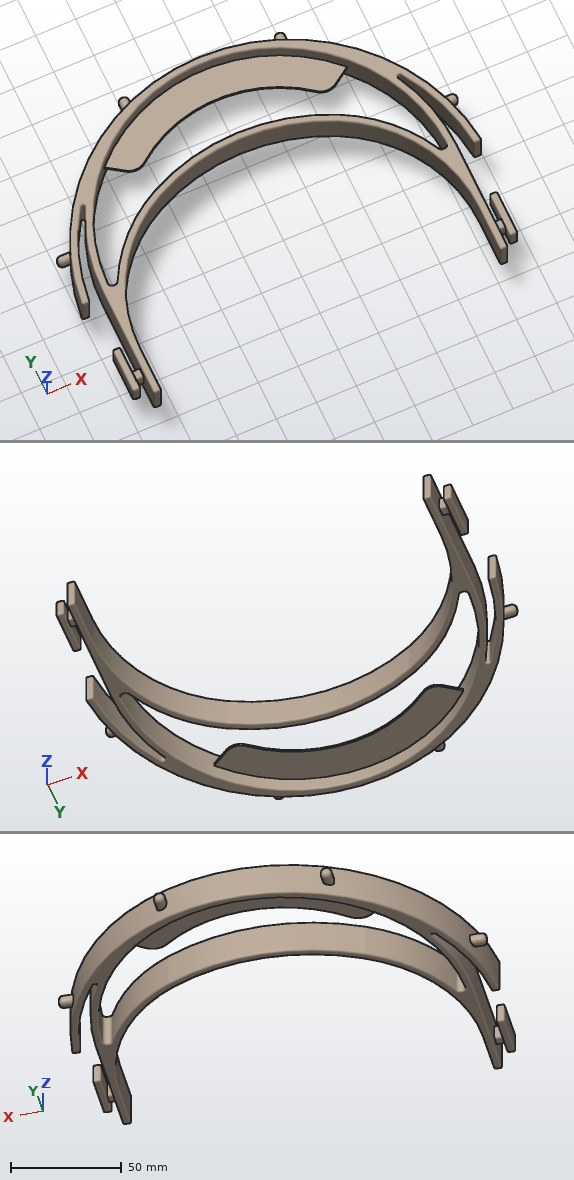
import cadquery as cq
import math


height = 17.0
overall_depth = 145.0
edge_round = 1.0
strip = 3.8

visor_radius = 100.2
visor_center_y = overall_depth - visor_radius
arm_end_y = 53.7

head_outer_radius = 88.5
head_inner_radius = head_outer_radius - strip
head_center_y = overall_depth - strip - head_inner_radius

slot_end_y = 99.0
slot_corner_radius = 0.8

forehead_side_radius = 73.3
forehead_top_radius = 98.6
forehead_tangent_y = 23.5

cavity_floor_y = 57.1
cavity_corner_radius = 2.0

plate_thickness = 1.4
plate_inner_radius = 68.9
plate_lobe_radius = 8.0
plate_lobe_x = 48.0
plate_end_slope = 34.0

hook_length = 23.0
hook_height = 10.2
hook_thickness = 3.8
hook_outer_x = 96.0
hook_center_y = 17.5
stem_width = 5.0
stem_height = 7.5
stem_center_y = 13.8

peg_width = 5.0
peg_height = 5.5
peg_round = 2.2
peg_blank_length = 14.0
front_peg_x = 39.0
front_peg_tip_y = 143.7
side_peg_y = 80.9
side_peg_tip_x = 99.8


def disc(radius, center_y):
    """Full-height cylinder centred on the symmetry plane."""
    return cq.Workplane("XY").center(0, center_y).circle(radius).extrude(height / 2, both=True)


def block(x_min, x_max, y_min, y_max):
    """Full-height box between the given limits."""
    return cq.Workplane("XY").box(
        x_max - x_min, y_max - y_min, height, centered=(False, False, True)
    ).translate((x_min, y_min, 0))


def head_arch(radius):
    """Full-height arch: a half disc on a straight-sided base that starts at the leg ends."""
    return (
        cq.Workplane("XY")
        .moveTo(-radius, 0)
        .lineTo(-radius, head_center_y)
        .threePointArc((0, head_center_y + radius), (radius, head_center_y))
        .lineTo(radius, 0)
        .close()
        .extrude(height / 2, both=True)
    )


def forehead_arch(offset):
    """Full-height arch under the forehead strip, grown outwards by the offset."""
    side_radius = forehead_side_radius + offset
    top_radius = forehead_top_radius + offset
    half_width = head_inner_radius + offset
    side_center_x = half_width - side_radius
    center_gap = top_radius - side_radius
    joint_angle = math.asin(side_center_x / center_gap)
    top_center_y = forehead_tangent_y - center_gap * math.cos(joint_angle)
    joint_x = top_radius * math.sin(joint_angle)
    joint_y = top_center_y + top_radius * math.cos(joint_angle)
    middle_angle = (joint_angle + math.pi / 2) / 2
    middle_x = side_center_x + side_radius * math.sin(middle_angle)
    middle_y = forehead_tangent_y + side_radius * math.cos(middle_angle)
    return (
        cq.Workplane("XY")
        .moveTo(-half_width, 0)
        .lineTo(-half_width, forehead_tangent_y)
        .threePointArc((-middle_x, middle_y), (-joint_x, joint_y))
        .threePointArc((0, top_center_y + top_radius), (joint_x, joint_y))
        .threePointArc((middle_x, middle_y), (half_width, forehead_tangent_y))
        .lineTo(half_width, 0)
        .close()
        .extrude(height / 2, both=True)
    )


def arm_slots():
    """The gaps between the arms and the headband, with rounded closed ends."""
    reach = block(-visor_radius, visor_radius, 0, slot_end_y)
    gaps = disc(visor_radius - strip, visor_center_y).intersect(reach).cut(head_arch(head_outer_radius))
    return gaps.edges("|Z and >Y").fillet(slot_corner_radius)


def cavity():
    """The opening between the headband and the forehead strip, with rounded corners."""
    reach = block(-visor_radius, visor_radius, cavity_floor_y, overall_depth)
    opening = head_arch(head_inner_radius).intersect(reach).cut(forehead_arch(strip))
    return opening.edges("|Z and <Y").fillet(cavity_corner_radius)


def band():
    """Visor band, arms, headband, legs and forehead strip, with every edge rounded."""
    visor_reach = block(-visor_radius, visor_radius, arm_end_y, overall_depth)
    outline = disc(visor_radius, visor_center_y).intersect(visor_reach).union(head_arch(head_outer_radius))
    strips = outline.cut(arm_slots()).cut(cavity()).cut(forehead_arch(0))
    ends = cq.selectors.BoxSelector(
        (-visor_radius, arm_end_y - edge_round, -height),
        (visor_radius, arm_end_y + edge_round, height),
    )
    strips = strips.edges("|Z").edges(ends).fillet(edge_round)
    strips = strips.edges("|Z and <Y").fillet(edge_round)
    return strips.faces(">Z or <Z").edges().fillet(edge_round)


def plate():
    """Thin plate whose inner edge is concentric with the headband and ends in a lobe at each side."""
    lobe_distance = plate_inner_radius + plate_lobe_radius
    lobe_angle = math.asin(plate_lobe_x / lobe_distance)
    lobe_y = head_center_y + lobe_distance * math.cos(lobe_angle)
    inner_x = plate_inner_radius * math.sin(lobe_angle)
    inner_y = head_center_y + plate_inner_radius * math.cos(lobe_angle)
    slope = math.radians(plate_end_slope)
    tangent_x = plate_lobe_x + plate_lobe_radius * math.sin(slope)
    tangent_y = lobe_y - plate_lobe_radius * math.cos(slope)
    lobe_bottom_y = lobe_y - plate_lobe_radius

    wall_radius = head_inner_radius + strip / 2
    rise = tangent_y - head_center_y
    along = tangent_x * math.cos(slope) + rise * math.sin(slope)
    to_wall = math.sqrt(along**2 + wall_radius**2 - tangent_x**2 - rise**2) - along
    wall_x = tangent_x + to_wall * math.cos(slope)
    wall_y = tangent_y + to_wall * math.sin(slope)
    return (
        cq.Workplane("XY")
        .moveTo(-wall_x, wall_y)
        .lineTo(-tangent_x, tangent_y)
        .threePointArc((-plate_lobe_x, lobe_bottom_y), (-inner_x, inner_y))
        .threePointArc((0, head_center_y + plate_inner_radius), (inner_x, inner_y))
        .threePointArc((plate_lobe_x, lobe_bottom_y), (tangent_x, tangent_y))
        .lineTo(wall_x, wall_y)
        .threePointArc((0, head_center_y + wall_radius), (-wall_x, wall_y))
        .close()
        .extrude(plate_thickness / 2, both=True)
    )


def hook(side):
    """T-shaped hook on the leg at the given side, -1 or 1."""
    bar = cq.Workplane("XY").box(hook_thickness, hook_length, hook_height).edges().fillet(edge_round)
    bar_x = hook_outer_x - hook_thickness / 2
    leg_x = head_outer_radius - strip / 2
    stem = cq.Workplane("XY").box(bar_x - leg_x, stem_width, stem_height).edges("|X").fillet(edge_round)
    bar = bar.translate((side * bar_x, hook_center_y, 0))
    stem = stem.translate((side * (bar_x + leg_x) / 2, stem_center_y, 0))
    return bar.union(stem)


def make_frame():
    """The headband frame with its plate and both strap hooks."""
    return band().union(plate()).union(hook(-1)).union(hook(1))


def peg(tip_x, tip_y, turn):
    """Rounded peg with its tip at the given point, seated on the outer face of the visor band.

    Unturned, it points along +Y.
    """
    blank = (
        cq.Workplane("XY")
        .box(peg_width, peg_blank_length, peg_height)
        .translate((0, -peg_blank_length / 2, 0))
        .edges("|Y or >Y")
        .fillet(peg_round)
        .rotate((0, 0, 0), (0, 0, 1), turn)
        .translate((tip_x, tip_y, 0))
    )
    return blank.cut(disc(visor_radius, visor_center_y))


frame = make_frame()
pegs = []
for side in (-1, 1):
    pegs.append(peg(side * front_peg_x, front_peg_tip_y, 0))
    pegs.append(peg(side * side_peg_tip_x, side_peg_y, -90 * side))

result = cq.Compound.makeCompound([frame.val(), *[one_peg.val() for one_peg in pegs]])